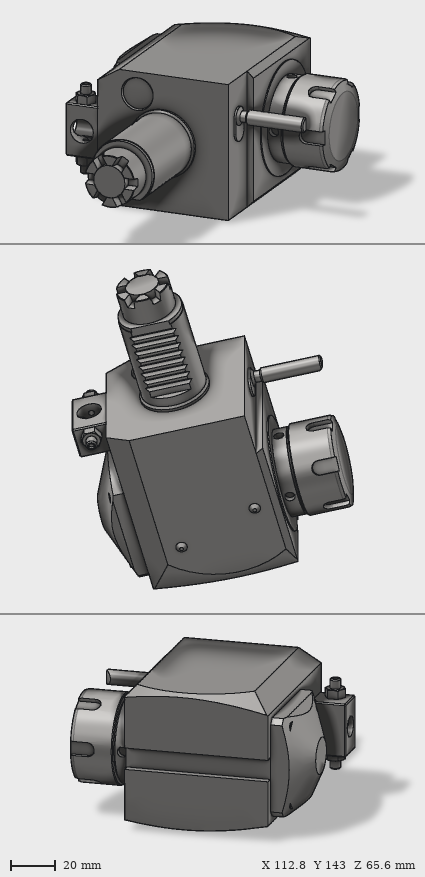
import cadquery as cq
import math


half_width = 32.0
left_face = -31.7
housing_depth = 84.1
side_chamfer_x = 10.6
side_chamfer_z = 6.3
pad_thickness = 3.0
pad_start_y = 20.9
crown_center = (8.7, 36.3)
crown_radius = 44.3
crown_slope = 3.0
rear_slot_width = 10.0
rear_slot_depth = 3.9
recess_center = (-12.5, 21.6)
recess_radius = 7.7
recess_floor_radius = 7.3
recess_depth = 1.1

shank_radius = 15.0
shank_collar_radius = 16.0
shank_collar_length = 2.3
shank_collar_bevel = 1.0
shank_end = 44.9
shank_end_step = 1.9
shank_end_radius = 14.7
rack_flat_start = 6.9
rack_flat_height = 11.9
tooth_count = 8
tooth_pitch = 4.0
first_tooth = 11.3
tooth_depth = 1.3
shank_neck_radius = 9.2
shank_neck_length = 1.0
shank_nut_radius = 12.2
tool_end = 58.9
shank_nut_edge = 0.3
shank_nut_core_radius = 7.6
shank_nut_core_height = 0.3
notch_count = 6
notch_depth = 4.1
notch_floor_width = 3.7
notch_mouth_width = 5.3

spindle_y = 55.0
spindle_flange_radius = 26.5
spindle_flange_thickness = 0.6
spindle_collar_radius = 20.0
spindle_collar_end = 42.2
spindle_neck_radius = 18.6
nut_start = 43.2
nut_radius = 21.0
nut_edge = 0.5
nut_rim_x = 61.3
nut_shoulder_x = 62.8
nut_shoulder_radius = 20.6
nut_face_x = 63.9
nut_face_radius = 15.7
nut_slot_count = 6
nut_slot_width = 6.6
nut_slot_start = 51.6
nut_slot_depth = 2.5
collar_hole_count = 4
collar_hole_x = 38.8
collar_hole_radius = 2.3
collar_hole_depth = 2.9

cover_radius = 32.0
cover_half_height = 23.0
cover_max_y = 79.8
cover_rim = 5.3
tool_left = 47.9
cover_top_radius = 8.5
cover_bevel_start = 6.1
cover_bevel_run = 3.2
cover_bevel_rise = 1.8
cover_screw_offset = 17.5
cover_screw_radius = 2.9
cover_screw_height = 7.9

block_start_y = 1.0
block_end_y = 16.3
block_half_height = 12.5
block_edge = 0.6
front_port_x = -39.9
front_port_radius = 5.6
side_port_y = 8.7
side_port_radius = 4.7
pilot_radius = 1.5
pilot_depth = 2.9
nozzle_x = -40.0
nozzle_y = 5.9
nozzle_flats = 8.3
nozzle_hex_top_radius = 4.0
nozzle_hex_height = 4.1
nozzle_radius = 2.5
nozzle_bore_radius = 1.3
nozzle_length = 8.6
nozzle_tip_edge = 0.6
nozzle_tip_depth = 1.5

pin_y = 10.9
pin_z = 14.0
pin_radius = 3.5
pin_end = 64.9
pin_start = 37.6
pin_edge = 0.6
pin_neck_radius = 2.6
pin_neck_start = 34.0
pin_neck_end = 36.8
pin_foot_radius = 4.3
pin_bevel = 2.7
pin_plate_thickness = 0.9
pin_plate_width = 8.9
pin_plate_bottom = 2.3
drain_screw_points = [(-12.9, 61.3), (24.0, 49.3)]
drain_screw_radius = 2.6
drain_screw_tip_radius = 0.9
drain_screw_height = 1.6

overlap = 1.5


def turned(origin, direction, profile):
    """Solid of revolution; profile points are (distance along direction, radius)."""
    normal = (0, 1, 0) if direction[2] else (0, 0, 1)
    plane = cq.Plane(origin=origin, xDir=direction, normal=normal)
    outline = [(profile[0][0], 0)] + profile + [(profile[-1][0], 0)]
    return cq.Workplane(plane).polyline(outline).close().revolve(360, (0, 0), (1, 0))


def rod(origin, direction, length, radius):
    return turned(origin, direction, [(0, radius), (length, radius)])


def block(x_range, y_range, z_range):
    sizes = [high - low for low, high in (x_range, y_range, z_range)]
    return cq.Workplane("XY").box(*sizes, centered=False).translate((x_range[0], y_range[0], z_range[0]))


def prism_along_y(points, start, end):
    """Extrude an XZ outline between two Y positions."""
    plane = cq.Plane(origin=(0, start, 0), xDir=(1, 0, 0), normal=(0, -1, 0))
    return cq.Workplane(plane).polyline(points).close().extrude(start - end)


def make_housing():
    bevel_x = side_chamfer_x + left_face
    bevel_z = half_width - side_chamfer_z
    pad_x = half_width + pad_thickness
    pad_z = half_width - pad_thickness
    body = prism_along_y(
        [
            (left_face, -bevel_z), (bevel_x, -half_width), (half_width, -half_width),
            (half_width, half_width), (bevel_x, half_width), (left_face, bevel_z),
        ],
        0, housing_depth,
    )
    pad = prism_along_y(
        [(half_width, -half_width), (pad_x, -pad_z), (pad_x, pad_z), (half_width, half_width)],
        pad_start_y, housing_depth,
    )
    body = body.union(pad)

    middle_radius = crown_radius + crown_slope * half_width
    crown = turned(
        (*crown_center, 0), (0, 0, 1),
        [(-half_width, crown_radius), (0, middle_radius), (half_width, crown_radius)],
    )
    front_half = block((left_face, pad_x), (0, crown_center[1]), (-half_width, half_width))
    body = body.intersect(crown.union(front_half))
    recess = turned(
        (recess_center[0], 0, recess_center[1]), (0, 1, 0),
        [(0, recess_radius), (recess_depth, recess_floor_radius)],
    )
    return body.cut(recess)


def make_rear_slot():
    """Cutter for the keyway across the whole rear face, spindle flange included."""
    return block(
        (left_face, half_width + pad_thickness + spindle_flange_thickness),
        (housing_depth - rear_slot_depth, housing_depth),
        (-rear_slot_width / 2, rear_slot_width / 2),
    )


def make_shank():
    nut_start_y = shank_end + shank_neck_length
    rim_y = tool_end - shank_nut_core_height
    shank = turned(
        (0, 0, 0), (0, -1, 0),
        [
            (-overlap, shank_collar_radius),
            (shank_collar_length - shank_collar_bevel, shank_collar_radius),
            (shank_collar_length, shank_radius),
            (shank_end - shank_end_step, shank_radius),
            (shank_end - shank_end_step, shank_end_radius), (shank_end, shank_end_radius),
        ],
    )
    shank = shank.cut(block(
        (-shank_radius, shank_radius), (-shank_end, -rack_flat_start), (-shank_radius, -rack_flat_height),
    ))
    for tooth in range(tooth_count):
        y = -first_tooth - tooth * tooth_pitch
        groove = (
            cq.Workplane("YZ")
            .polyline([
                (y - tooth_depth, -rack_flat_height),
                (y + tooth_depth, -rack_flat_height),
                (y, tooth_depth - rack_flat_height),
            ])
            .close()
            .extrude(shank_radius, both=True)
        )
        shank = shank.cut(groove)

    nut = turned(
        (0, 0, 0), (0, -1, 0),
        [
            (shank_end - overlap, shank_neck_radius), (nut_start_y, shank_neck_radius),
            (nut_start_y, shank_nut_radius), (rim_y - shank_nut_edge, shank_nut_radius),
            (rim_y, shank_nut_radius - shank_nut_edge),
        ],
    )
    notch = (
        cq.Workplane("XY").workplane(offset=-shank_nut_radius)
        .polyline([
            (-notch_mouth_width / 2, -tool_end), (notch_mouth_width / 2, -tool_end),
            (notch_floor_width / 2, notch_depth - tool_end),
            (-notch_floor_width / 2, notch_depth - tool_end),
        ])
        .close()
        .extrude(shank_nut_radius)
    )
    for index in range(notch_count):
        angle = (index + 0.5) * 360 / notch_count
        nut = nut.cut(notch.rotate((0, 0, 0), (0, 1, 0), angle))
    core = rod((0, -shank_end, 0), (0, -1, 0), tool_end - shank_end, shank_nut_core_radius)
    return shank.union(nut).union(core)


def make_spindle():
    seat_x = half_width + pad_thickness
    flange_x = seat_x + spindle_flange_thickness
    spindle = turned(
        (0, spindle_y, 0), (1, 0, 0),
        [
            (seat_x - overlap, spindle_flange_radius), (flange_x, spindle_flange_radius),
            (flange_x, spindle_collar_radius), (spindle_collar_end, spindle_collar_radius),
            (spindle_collar_end, spindle_neck_radius), (nut_start, spindle_neck_radius),
            (nut_start, nut_radius - nut_edge), (nut_start + nut_edge, nut_radius),
            (nut_rim_x, nut_radius), (nut_shoulder_x, nut_shoulder_radius), (nut_face_x, nut_face_radius),
        ],
    )
    axis_start = (0, spindle_y, 0)
    axis_end = (1, spindle_y, 0)
    slot_radius = nut_slot_width / 2
    slot_center_x = nut_slot_start + slot_radius
    slot_floor_y = spindle_y - nut_radius + nut_slot_depth
    slot = rod((slot_center_x, slot_floor_y, 0), (0, -1, 0), nut_radius, slot_radius).union(
        block(
            (slot_center_x, nut_face_x),
            (slot_floor_y - nut_radius, slot_floor_y),
            (-slot_radius, slot_radius),
        )
    )
    for index in range(nut_slot_count):
        spindle = spindle.cut(slot.rotate(axis_start, axis_end, index * 360 / nut_slot_count))

    hole_floor_y = spindle_y - spindle_collar_radius + collar_hole_depth
    hole = rod((collar_hole_x, hole_floor_y, 0), (0, -1, 0), 2 * collar_hole_depth, collar_hole_radius)
    for index in range(collar_hole_count):
        spindle = spindle.cut(hole.rotate(axis_start, axis_end, index * 360 / collar_hole_count))
    return spindle


def make_cover():
    depth = tool_left + left_face
    cover = turned(
        (left_face, spindle_y, 0), (-1, 0, 0),
        [(-overlap, cover_radius), (cover_rim, cover_radius), (depth, cover_top_radius)],
    )
    lip_x = left_face - cover_bevel_start
    slope = cover_bevel_rise / cover_bevel_run
    tip_z = cover_half_height - slope * (depth - cover_bevel_start)
    root_x = left_face + overlap
    envelope = prism_along_y(
        [
            (root_x, -cover_half_height), (root_x, cover_half_height), (lip_x, cover_half_height),
            (-tool_left, tip_z), (-tool_left, -tip_z), (lip_x, -cover_half_height),
        ],
        spindle_y - cover_radius, cover_max_y,
    )
    cover = cover.intersect(envelope)
    for side_y in (-1, 1):
        for side_z in (-1, 1):
            origin = (left_face, spindle_y + side_y * cover_screw_offset, side_z * cover_screw_offset)
            cover = cover.union(rod(origin, (-1, 0, 0), cover_screw_height, cover_screw_radius))
    return cover


def make_nozzle():
    """Hexagonal nozzle standing on the top of the coolant block, with a blind hole in its tip."""
    corner_radius = nozzle_flats / 2 / math.cos(math.pi / 6)
    base = (nozzle_x, nozzle_y, block_half_height)
    hexagon = cq.Workplane("XY", origin=base).polygon(6, 2 * corner_radius).extrude(nozzle_hex_height)
    foot_radius = nozzle_hex_top_radius + nozzle_hex_height * math.sqrt(3)
    bevel = turned(base, (0, 0, 1), [(0, foot_radius), (nozzle_hex_height, nozzle_hex_top_radius)])
    stem = turned(
        base, (0, 0, 1),
        [
            (0, nozzle_radius), (nozzle_length - nozzle_tip_edge, nozzle_radius),
            (nozzle_length, nozzle_radius - nozzle_tip_edge),
        ],
    )
    tip_z = block_half_height + nozzle_length
    tip_hole = rod((nozzle_x, nozzle_y, tip_z), (0, 0, -1), nozzle_tip_depth, nozzle_bore_radius)
    return hexagon.intersect(bevel).union(stem).cut(tip_hole)


def make_coolant_block():
    body = block(
        (-tool_left, left_face), (block_start_y, block_end_y), (-block_half_height, block_half_height),
    )
    body = body.edges("|X").chamfer(block_edge).faces("<X").chamfer(block_edge)
    nozzle = make_nozzle()
    body = body.union(nozzle).union(nozzle.mirror("XY"))

    block_height = 2 * block_half_height
    bore = rod((nozzle_x, nozzle_y, -block_half_height), (0, 0, 1), block_height, nozzle_bore_radius)
    front_port_depth = side_port_y - block_start_y
    front_port = rod((front_port_x, block_start_y, 0), (0, 1, 0), front_port_depth, front_port_radius)
    side_port = rod((-tool_left, side_port_y, 0), (1, 0, 0), tool_left + left_face, side_port_radius)
    return body.cut(bore).cut(front_port).cut(side_port)


def make_pilot():
    """Cutter that carries the side port on into the housing."""
    return rod((left_face, side_port_y, 0), (1, 0, 0), pilot_depth, pilot_radius)


def make_pin():
    pin = turned(
        (0, pin_y, pin_z), (1, 0, 0),
        [
            (half_width - overlap, pin_foot_radius), (half_width + pin_plate_thickness, pin_foot_radius),
            (pin_neck_start, pin_neck_radius), (pin_neck_end, pin_neck_radius),
            (pin_start, pin_radius), (pin_end - pin_edge, pin_radius), (pin_end, pin_radius - pin_edge),
        ],
    )
    rear_y = pin_y + pin_radius
    bevel = (
        cq.Workplane("XY")
        .polyline([(pin_end - pin_bevel, rear_y), (pin_end, rear_y), (pin_end, rear_y - pin_bevel)])
        .close()
        .extrude(pin_z + pin_radius)
    )
    pin = pin.cut(bevel)

    plate_end_radius = pin_plate_width / 2
    plate_low_z = pin_plate_bottom + plate_end_radius
    plate = block(
        (half_width - overlap, half_width + pin_plate_thickness),
        (pin_y - plate_end_radius, pin_y + plate_end_radius),
        (plate_low_z, pin_z),
    )
    for z in (plate_low_z, pin_z):
        origin = (half_width - overlap, pin_y, z)
        plate = plate.union(rod(origin, (1, 0, 0), overlap + pin_plate_thickness, plate_end_radius))
    return pin.union(plate)


def make_drain_screw(x, y):
    return turned(
        (x, y, -half_width), (0, 0, -1),
        [
            (-overlap, drain_screw_radius), (0, drain_screw_radius),
            (drain_screw_height, drain_screw_tip_radius),
        ],
    )


result = make_housing()
for attachment in (make_shank(), make_spindle(), make_cover(), make_coolant_block(), make_pin()):
    result = result.union(attachment)
for point in drain_screw_points:
    result = result.union(make_drain_screw(*point))
result = result.cut(make_rear_slot()).cut(make_pilot())